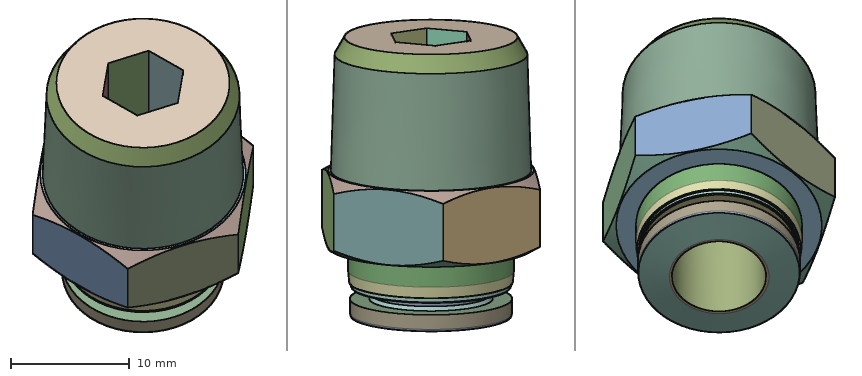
import cadquery as cq
import math

height = 24.4

nut_flats = 17.47
nut_bottom = 6.4
nut_top = 12.93
nut_face_diameter = 17.32
nut_chamfer_angle = 30.0

thread_base_diameter = 16.9
thread_end_diameter = 16.27
thread_tip_diameter = 14.6
thread_chamfer_height = 1.5

sleeve_diameter = 14.0
sleeve_taper_diameter = 13.8
sleeve_end_diameter = 13.5
sleeve_taper_z = 4.35
sleeve_step_z = 3.35
sleeve_chamfer = 0.1
sleeve_bottom = 2.88

neck_diameter = 9.93
neck_flare_z = 2.25
neck_foot_diameter = 10.42
collar_diameter = 13.7
collar_top = 1.9
collar_edge_z = 0.68
collar_rim_diameter = 13.57
collar_rim_z = 0.46
collar_face_diameter = 8.4

bore_diameter = 7.93
bore_depth = nut_top
socket_flats = 6.4


def hexagon(flats, bottom, top):
    """Hexagonal prism with two corners on the Y axis."""
    corner_diameter = flats / math.cos(math.radians(30))
    return (
        cq.Workplane("XY")
        .workplane(offset=bottom)
        .transformed(rotate=(0, 0, 90))
        .polygon(6, corner_diameter)
        .extrude(top - bottom)
    )


def revolved(sections):
    """Solid of revolution about Z from (diameter, z) pairs, lowest first."""
    outline = [(diameter / 2, z) for diameter, z in sections]
    bottom = sections[0][1]
    top = sections[-1][1]
    return (
        cq.Workplane("XZ")
        .polyline([(0, bottom)] + outline + [(0, top)])
        .close()
        .revolve(360, (0, 0), (0, 1))
    )


def chamfered_nut():
    """Hexagon whose corners are turned down conically at both faces."""
    corner_diameter = nut_flats / math.cos(math.radians(30))
    corner_run = (corner_diameter - nut_face_diameter) / 2
    corner_drop = corner_run * math.tan(math.radians(nut_chamfer_angle))
    envelope = revolved([
        (nut_face_diameter, nut_bottom),
        (corner_diameter, nut_bottom + corner_drop),
        (corner_diameter, nut_top - corner_drop),
        (nut_face_diameter, nut_top),
    ])
    return hexagon(nut_flats, nut_bottom, nut_top).intersect(envelope)


turned_body = revolved([
    (collar_face_diameter, 0),
    (collar_rim_diameter, collar_rim_z),
    (collar_diameter, collar_edge_z),
    (collar_diameter, collar_top),
    (neck_foot_diameter, collar_top),
    (neck_diameter, neck_flare_z),
    (neck_diameter, sleeve_bottom),
    (sleeve_end_diameter - 2 * sleeve_chamfer, sleeve_bottom),
    (sleeve_end_diameter, sleeve_bottom + sleeve_chamfer),
    (sleeve_end_diameter, sleeve_step_z),
    (sleeve_taper_diameter, sleeve_step_z),
    (sleeve_diameter, sleeve_taper_z),
    (sleeve_diameter, nut_top),
    (thread_base_diameter, nut_top),
    (thread_end_diameter, height - thread_chamfer_height),
    (thread_tip_diameter, height),
])

bore = cq.Workplane("XY").circle(bore_diameter / 2).extrude(bore_depth)
socket = hexagon(socket_flats, bore_depth, height)

result = turned_body.union(chamfered_nut()).cut(bore).cut(socket)